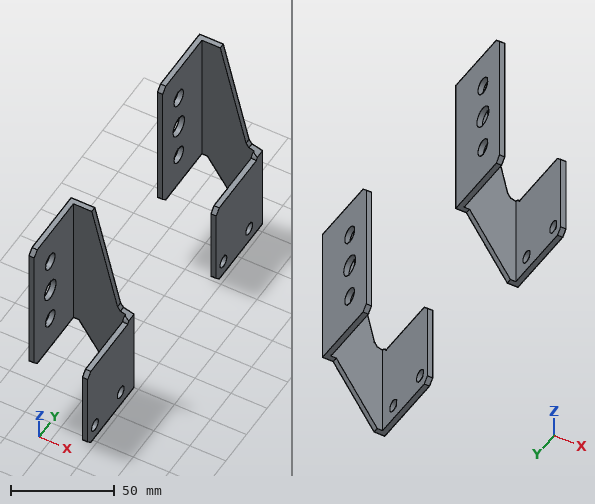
import cadquery as cq

thickness = 3.0
width = 35.0
height = 115.0
bracket_count = 2
total_length = 169.55

upper_flange_length = 41.0
upper_flange_height = 80.0
upper_flange_bottom = height - upper_flange_height

lower_flange_length = 45.0
lower_flange_height = 50.0
corner_chamfer = 3.0

corner_land = 2 * thickness
web_top_width = 13.2
shoulder_low_z = 51.5
notch_upper = (27.5, 55.5)
notch_lower = (29.1, 53.2)

upper_hole_pitch = 20.0
upper_hole_offset = 25.4
outer_hole_diameter = 9.0
middle_hole_diameter = 11.0

lower_hole_offsets = (13.0, 38.0)
lower_hole_z = 8.5
lower_hole_diameter = 6.5

bracket_spacing = (total_length - lower_flange_length) / (bracket_count - 1)


def make_web_profile(depth):
    """Web outline in the XZ plane, extruded toward -Y from the outer web face at Y = 0."""
    return (
        cq.Workplane("XZ")
        .moveTo(0, upper_flange_bottom)
        .lineTo(0, height)
        .lineTo(web_top_width, height)
        .lineTo(*notch_upper)
        .lineTo(*notch_lower)
        .lineTo(width, shoulder_low_z)
        .lineTo(width, 0)
        .lineTo(width - corner_land, 0)
        .lineTo(corner_land, upper_flange_bottom)
        .close()
        .extrude(depth)
    )


def make_flange(x, bottom, length, flange_height):
    """Flat flange running toward -Y, with both free corners chamfered."""
    return (
        cq.Workplane("XY")
        .box(thickness, length, flange_height, centered=False)
        .translate((x, -length, bottom))
        .faces("<Y")
        .edges("|X")
        .chamfer(corner_chamfer)
    )


def make_bend_corner():
    """Corner strip that carries the sloped web edge around the bend and rounds down to the lower flange."""
    shoulder_slope = (notch_lower[1] - shoulder_low_z) / (width - notch_lower[0])
    rounding_top_z = shoulder_low_z + shoulder_slope * thickness
    rounding_drop = rounding_top_z - lower_flange_height
    rounding_run = corner_land - thickness
    rounding_radius = (rounding_run**2 + rounding_drop**2) / (2 * rounding_drop)

    strip = (
        cq.Workplane("YZ", origin=(width - thickness, 0, 0))
        .moveTo(0, 0)
        .lineTo(-corner_land, 0)
        .lineTo(-corner_land, lower_flange_height)
        .radiusArc((-thickness, rounding_top_z), rounding_radius)
        .lineTo(0, rounding_top_z)
        .close()
        .extrude(thickness)
    )
    return make_web_profile(corner_land).intersect(strip)


def make_hole(x, offset, z, diameter):
    """Cutter for a hole through a flange whose low-X face is at x."""
    return cq.Workplane("YZ", origin=(x, -offset, z)).circle(diameter / 2).extrude(thickness)


def make_bracket():
    lower_flange_x = width - thickness
    bracket = make_web_profile(thickness)
    bracket = bracket.union(make_flange(0, upper_flange_bottom, upper_flange_length, upper_flange_height))
    bracket = bracket.union(make_flange(lower_flange_x, 0, lower_flange_length, lower_flange_height))
    bracket = bracket.union(make_bend_corner())

    middle_z = upper_flange_bottom + upper_flange_height / 2
    bracket = bracket.cut(make_hole(0, upper_hole_offset, middle_z, middle_hole_diameter))
    for side in (-1, 1):
        hole_z = middle_z + side * upper_hole_pitch
        bracket = bracket.cut(make_hole(0, upper_hole_offset, hole_z, outer_hole_diameter))

    for offset in lower_hole_offsets:
        bracket = bracket.cut(make_hole(lower_flange_x, offset, lower_hole_z, lower_hole_diameter))
    return bracket


brackets = []
for index in range(bracket_count):
    bracket = make_bracket().translate((0, -index * bracket_spacing, 0))
    brackets.append(bracket.val())

result = cq.Compound.makeCompound(brackets)